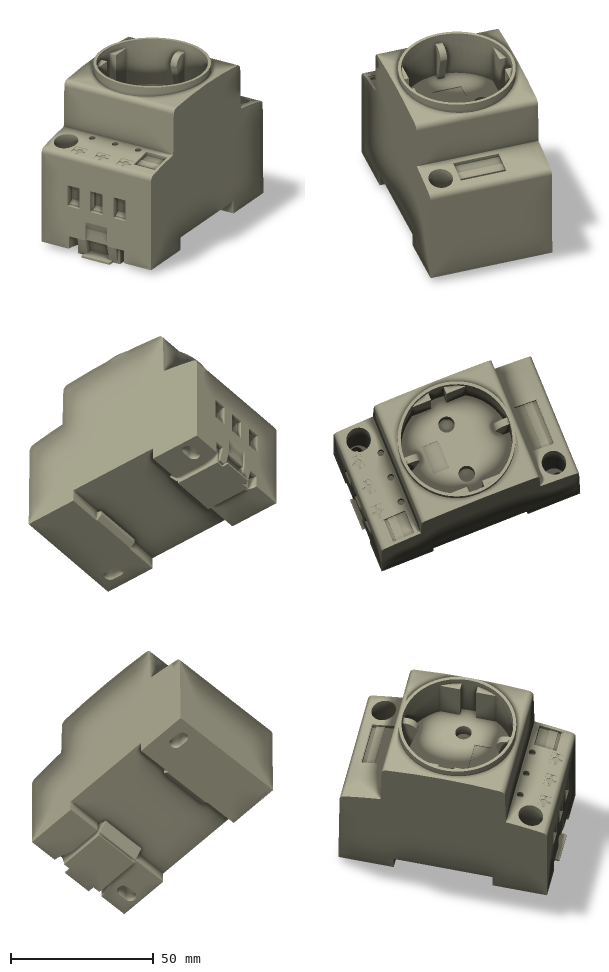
import cadquery as cq
import math


width = 45.0
front_y = -37.3
back_foot_y = 37.6
back_top_y = 37.1
base_crown_apex = 40.15
base_crown_radius = 166.05
tower_half_depth_low = 22.6
tower_half_depth_high = 22.1
tower_foot_z = 37.75
tower_crown_apex = 57.2
tower_crown_radius = 188.7
edge_radius = 2.1

slot_half_depth = 17.75
slot_height = 4.8
fixed_hook_half_width = 9.35
fixed_hook_tip_y = 15.55
fixed_hook_foot_y = 17.35
fixed_hook_tip_low_z = 1.5
fixed_hook_tip_high_z = 3.2
fixed_hook_top_z = 3.85

collar_radius = 20.6
cup_radius = 19.55
collar_top_z = 59.85
cup_floor_z = 42.35
key_x = 16.75
key_top_z = 57.4
key_gap = 5.8
contact_width = 2.5
contact_top_z = 56.3
contact_flat_y = 17.8
contact_tip_y = 14.2
contact_tip_radius = contact_flat_y - contact_tip_y
contact_tip_z = contact_top_z - contact_tip_radius
contact_foot_y = 17.05
pin_radius = 2.9
pin_spacing = 18.95
pin_depth = 4.5
label_size = (10.5, 5.9)
label_y = -7.9
label_depth = 0.4

mounting_holes = ((-16.8, -30.2, 0), (16.2, 30.2, 90))
mount_bore_diameter = 8.6
mount_floor_z = 7.55
mount_slot_length = 7.7
mount_slot_width = 4.4

terminal_pitch = 9.4
terminal_xs = (-terminal_pitch, 0, terminal_pitch)
port_width = 5.0
port_low_z = 16.4
port_high_z = 24.4
port_lip_depth = 1.5
port_step = 0.3
port_depth = 3.25
port_back_inset = 1.35
middle_port_width = 5.2
middle_port_inner_width = 4.4
indicator_diameter = 2.35
indicator_y = -24.75
indicator_depth = 2.3

symbol_back_y = -31.5
symbol_front_y = -35.55
symbol_bar_back_y = -33.05
symbol_bar_front_y = -33.9
symbol_stem_width = 0.8
symbol_arch_radius = 1.05
symbol_corner_radius = 1.0
symbol_window_depth = 0.15
symbol_depth = 0.45

marker_near_y = 24.6
marker_step_y = 28.2
marker_ridge_y = 31.25
marker_near_depth = 1.4
marker_middle_depth = 1.05
marker_far_depth = 1.6
marker_ledge_depth = 0.4
front_marker = (12.8, 21.4, 32.5, 33.2)
back_marker = (-7.1, 9.7, 32.75, 33.0)

bay_half_width = 11.3
bay_mouth_depth = 1.2
channel_half_width = 9.5
channel_start_y = -30.2
latch_half_width = 8.6
latch_wall = 0.8
latch_bottom_z = -1.8
plate_top_z = -1.05
block_bottom_z = -0.5
latch_hook_tip_y = -14.5
latch_hook_neck_y = -16.7
latch_hook_foot_y = -17.35
latch_hook_tip_low_z = 2.95
latch_hook_tip_high_z = 3.55
latch_hook_neck_z = 4.0
latch_front_y = -35.5
latch_back_y = -17.9
tab_front_y = -37.9
tab_half_width = 5.7
ramp_setback = 1.3
notch_half_width = 4.45
notch_top_z = 11.9
notch_back_top_z = 9.2
notch_setback = 0.75
notch_ramp_shift = 2.3


def crown_z(y, apex, radius):
    """Height of a crowned top at depth y."""
    return apex - radius + math.sqrt(radius ** 2 - y ** 2)


def prism_x(sketch, x_min, x_max):
    """Extrude a closed sketch drawn in the YZ plane from x_min to x_max."""
    return sketch.extrude(x_max - x_min).translate((x_min, 0, 0))


def yz_prism(points, x_min, x_max):
    """Prism with a polygonal YZ section."""
    return prism_x(cq.Workplane("YZ").polyline(points).close(), x_min, x_max)


def block(x_min, x_max, y_min, y_max, z_min, z_max):
    """Axis-aligned block between the given limits."""
    size = (x_max - x_min, y_max - y_min, z_max - z_min)
    return cq.Workplane("XY").box(*size, centered=False).translate((x_min, y_min, z_min))


def crowned_block(bottom_z, bottom_ys, top_ys, apex, radius):
    """Full-width block with an arched top and rounded upper edges."""
    front_top, back_top = top_ys
    bottom_front, bottom_back = bottom_ys
    sketch = (
        cq.Workplane("YZ")
        .moveTo(bottom_front, bottom_z)
        .lineTo(front_top, crown_z(front_top, apex, radius))
        .threePointArc((0, apex), (back_top, crown_z(back_top, apex, radius)))
        .lineTo(bottom_back, bottom_z)
        .close()
    )
    solid = prism_x(sketch, -width / 2, width / 2)
    return solid.edges("|X and (not <Z)").fillet(edge_radius)


def make_housing():
    """Stepped body with the rail slot cut across its underside."""
    base = crowned_block(
        0, (front_y, back_foot_y), (front_y, back_top_y), base_crown_apex, base_crown_radius
    )
    tower = crowned_block(
        tower_foot_z,
        (-tower_half_depth_low, tower_half_depth_low),
        (-tower_half_depth_high, tower_half_depth_high),
        tower_crown_apex,
        tower_crown_radius,
    )
    rail_slot = block(
        -width / 2, width / 2, -slot_half_depth, slot_half_depth, 0, slot_height
    )
    return base.union(tower).cut(rail_slot)


def make_fixed_hook():
    """Rigid hook on the back wall of the rail slot."""
    profile = [
        (slot_half_depth, 0),
        (fixed_hook_foot_y, 0),
        (fixed_hook_tip_y, fixed_hook_tip_low_z),
        (fixed_hook_tip_y, fixed_hook_tip_high_z),
        (slot_half_depth, fixed_hook_top_z),
    ]
    return yz_prism(profile, -fixed_hook_half_width, fixed_hook_half_width)


def add_socket(body):
    """Collar and cup with pin holes, a label recess, guide keys and earth contacts."""
    collar = (
        cq.Workplane("XY", origin=(0, 0, cup_floor_z))
        .circle(collar_radius)
        .extrude(collar_top_z - cup_floor_z)
    )
    cup = (
        cq.Workplane("XY", origin=(0, 0, cup_floor_z))
        .circle(cup_radius)
        .extrude(collar_top_z - cup_floor_z)
    )
    pins = (
        cq.Workplane("XY", origin=(0, 0, cup_floor_z))
        .pushPoints([(-pin_spacing / 2, 0), (pin_spacing / 2, 0)])
        .circle(pin_radius)
        .extrude(-pin_depth)
    )
    label = (
        cq.Workplane("XY", origin=(0, label_y, cup_floor_z))
        .rect(*label_size)
        .extrude(-label_depth)
    )
    body = body.union(collar).cut(cup).cut(pins).cut(label)
    return body.union(make_keys()).union(make_contacts())


def make_keys():
    """Four guide keys: chord segments of the cup, split by a gap on each side."""
    disc = (
        cq.Workplane("XY", origin=(0, 0, cup_floor_z))
        .circle(cup_radius)
        .extrude(key_top_z - cup_floor_z)
    )
    middle = block(-key_x, key_x, -cup_radius, cup_radius, cup_floor_z, key_top_z)
    gap = block(
        -cup_radius, cup_radius, -key_gap / 2, key_gap / 2, cup_floor_z, key_top_z
    )
    return disc.cut(middle).cut(gap)


def make_contacts():
    """Two earth contacts, mirrored about the XZ plane."""
    wall_y = (cup_radius + collar_radius) / 2
    diagonal = contact_tip_radius * math.sqrt(0.5)
    arc_middle = (contact_flat_y - diagonal, contact_tip_z + diagonal)
    sketch = (
        cq.Workplane("YZ")
        .moveTo(wall_y, cup_floor_z)
        .lineTo(wall_y, contact_top_z)
        .lineTo(contact_flat_y, contact_top_z)
        .threePointArc(arc_middle, (contact_tip_y, contact_tip_z))
        .lineTo(contact_foot_y, cup_floor_z)
        .close()
    )
    contact = prism_x(sketch, -contact_width / 2, contact_width / 2)
    return contact.union(contact.mirror("XZ"))


def cut_mounting_hole(body, x, y, angle):
    """Wide bore for the screw head above a slot through the foot."""
    bore = (
        cq.Workplane("XY", origin=(x, y, mount_floor_z))
        .circle(mount_bore_diameter / 2)
        .extrude(base_crown_apex - mount_floor_z)
    )
    slot = (
        cq.Workplane("XY", origin=(x, y, 0))
        .slot2D(mount_slot_length, mount_slot_width, angle)
        .extrude(mount_floor_z)
    )
    return body.cut(bore).cut(slot)


def make_port(x):
    """Wire entry: straight mouth, then sloped floor and ceiling behind a low step."""
    lip_y = front_y + port_lip_depth
    back_y = front_y + port_depth
    profile = [
        (front_y, port_low_z),
        (lip_y, port_low_z),
        (lip_y, port_low_z + port_step),
        (back_y, port_low_z + port_back_inset),
        (back_y, port_high_z - port_back_inset),
        (lip_y, port_high_z),
        (front_y, port_high_z),
    ]
    if x != 0:
        return yz_prism(profile, x - port_width / 2, x + port_width / 2)
    half = middle_port_width / 2
    inner_half = middle_port_inner_width / 2
    mouth = block(-half, half, front_y, lip_y, port_low_z, port_high_z)
    return mouth.union(yz_prism(profile, -inner_half, inner_half))


def under_crown(outline, depth):
    """Part of a tall cutter that lies above the base crown lowered by depth."""
    lowered = crowned_block(
        0, (front_y, back_top_y), (front_y, back_top_y), base_crown_apex - depth, base_crown_radius
    )
    return outline.cut(lowered)


def make_symbol(x, window_width):
    """Engraving of one screw symbol, following the crowned top."""
    left = x - window_width / 2
    right = x + window_width / 2
    stem_half = symbol_stem_width / 2
    low_z = port_high_z
    top_z = base_crown_apex
    window = block(left, right, symbol_front_y, symbol_back_y, low_z, top_z)
    bar = block(left, right, symbol_bar_front_y, symbol_bar_back_y, low_z, top_z)
    arch = (
        cq.Workplane("XY", origin=(x, symbol_bar_back_y, low_z))
        .circle(symbol_arch_radius)
        .extrude(top_z - low_z)
    )
    stem = block(
        x - stem_half, x + stem_half, symbol_front_y, symbol_bar_back_y, low_z, top_z
    )
    figure = bar.union(stem)
    inner_corners = cq.selectors.BoxSelector(
        (x - symbol_stem_width, symbol_bar_front_y - stem_half, low_z),
        (x + symbol_stem_width, symbol_bar_front_y + stem_half, top_z),
    )
    figure = figure.edges("|Z").edges(inner_corners).fillet(symbol_corner_radius).union(arch)
    return under_crown(window, symbol_window_depth).union(under_crown(figure, symbol_depth))


def cut_terminals(body):
    """Wire entry, screw symbol and indicator hole for each terminal."""
    for x in terminal_xs:
        window_width = middle_port_width if x == 0 else port_width
        indicator_z = crown_z(indicator_y, base_crown_apex, base_crown_radius)
        indicator = (
            cq.Workplane("XY", origin=(x, indicator_y, indicator_z - indicator_depth))
            .circle(indicator_diameter / 2)
            .extrude(2 * indicator_depth)
        )
        body = body.cut(make_port(x)).cut(make_symbol(x, window_width)).cut(indicator)
    return body


def below_crown(y, depth):
    """YZ point at a given depth under the base crown."""
    return (y, crown_z(y, base_crown_apex, base_crown_radius) - depth)


def make_marker_recess(x_min, x_max, floor_end_y, ledge_end_y):
    """Stepped recess in the back shoulder; its floors follow the slope of the crown."""
    profile = [
        (marker_near_y, base_crown_apex),
        below_crown(marker_near_y, marker_near_depth),
        below_crown(marker_step_y, marker_near_depth),
        below_crown(marker_step_y, marker_middle_depth),
        below_crown(marker_ridge_y, marker_middle_depth),
        below_crown(marker_ridge_y, marker_far_depth),
        below_crown(floor_end_y, marker_far_depth),
        below_crown(floor_end_y, marker_ledge_depth),
        below_crown(ledge_end_y, marker_ledge_depth),
        (ledge_end_y, base_crown_apex),
    ]
    return yz_prism(profile, x_min, x_max)


def cut_latch_bay(body):
    """Tapered bay and channel through the front foot."""
    mouth_y = front_y + bay_mouth_depth
    bay = (
        cq.Workplane("XY")
        .polyline([
            (-bay_half_width, front_y),
            (-bay_half_width, mouth_y),
            (-channel_half_width, channel_start_y),
            (-channel_half_width, -slot_half_depth),
            (channel_half_width, -slot_half_depth),
            (channel_half_width, channel_start_y),
            (bay_half_width, mouth_y),
            (bay_half_width, front_y),
        ])
        .close()
        .extrude(slot_height)
    )
    return body.cut(bay)


def make_notch():
    """Tool notch through the housing front and the latch ramp."""
    back_y = front_y + notch_setback
    ramp_top_y = front_y + notch_ramp_shift
    profile = [
        (front_y, block_bottom_z),
        (front_y, notch_top_z),
        (back_y, notch_back_top_z),
        (back_y, slot_height),
        (ramp_top_y, slot_height),
        (ramp_top_y + ramp_setback, block_bottom_z),
    ]
    return yz_prism(profile, -notch_half_width, notch_half_width)


def make_latch():
    """Rail latch: U-shaped slider with a pull tab, ramp block and hook."""
    inner_half = latch_half_width - latch_wall
    slider = block(
        -latch_half_width, latch_half_width, latch_front_y, latch_back_y, latch_bottom_z, slot_height
    )
    hollow = block(
        -inner_half, inner_half, latch_front_y, latch_back_y, plate_top_z, slot_height
    )
    tab = block(
        -tab_half_width, tab_half_width, tab_front_y, latch_front_y, latch_bottom_z, plate_top_z
    )
    ramp_profile = [
        (front_y, slot_height),
        (front_y + ramp_setback, block_bottom_z),
        (latch_back_y, block_bottom_z),
        (latch_back_y, slot_height),
    ]
    ramp = yz_prism(ramp_profile, -inner_half, inner_half)
    hook_profile = [
        (latch_back_y, block_bottom_z),
        (latch_back_y, slot_height),
        (latch_hook_neck_y, slot_height),
        (latch_hook_neck_y, latch_hook_neck_z),
        (latch_hook_tip_y, latch_hook_tip_high_z),
        (latch_hook_tip_y, latch_hook_tip_low_z),
        (latch_hook_foot_y, block_bottom_z),
    ]
    hook = yz_prism(hook_profile, -latch_half_width, latch_half_width)
    return slider.cut(hollow).union(tab).union(ramp).union(hook)


housing = make_housing().union(make_fixed_hook())
housing = add_socket(housing)
for hole in mounting_holes:
    housing = cut_mounting_hole(housing, *hole)
housing = cut_terminals(housing)
housing = housing.cut(make_marker_recess(*back_marker))
housing = housing.cut(make_marker_recess(*front_marker).mirror("XZ"))
housing = cut_latch_bay(housing)

result = housing.union(make_latch()).cut(make_notch())